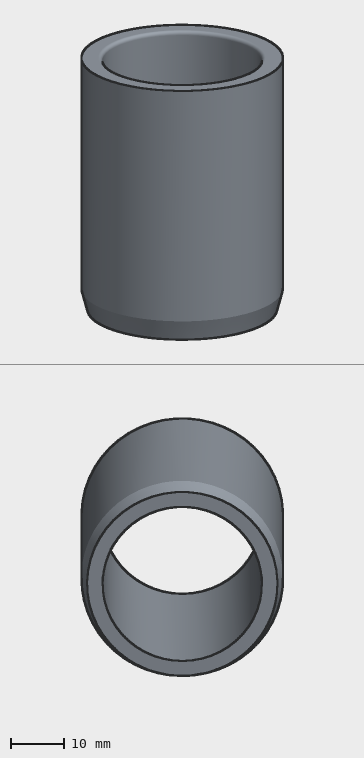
import cadquery as cq
import math

outer_diameter = 38.0
bore_diameter = 30.0
length = 50.0
lead_in_length = 4.0
lead_in_angle = 15.0
bore_edge_radius = 0.75

outer_radius = outer_diameter / 2
bore_radius = bore_diameter / 2
lead_in_depth = lead_in_length * math.tan(math.radians(lead_in_angle))


def make_tube():
    """Revolve the wall section, with its lower outer taper, about Z."""
    wall_section = (
        cq.Workplane("XZ")
        .moveTo(bore_radius, 0)
        .lineTo(outer_radius - lead_in_depth, 0)
        .lineTo(outer_radius, lead_in_length)
        .lineTo(outer_radius, length)
        .lineTo(bore_radius, length)
        .close()
    )
    return wall_section.revolve(360, (0, 0, 0), (0, 1, 0))


def round_bore_mouth(tube):
    """Round the edge where the bore meets the upper face."""
    bore_mouth = tube.faces(">Z").edges(cq.selectors.RadiusNthSelector(0))
    return bore_mouth.fillet(bore_edge_radius)


result = round_bore_mouth(make_tube())